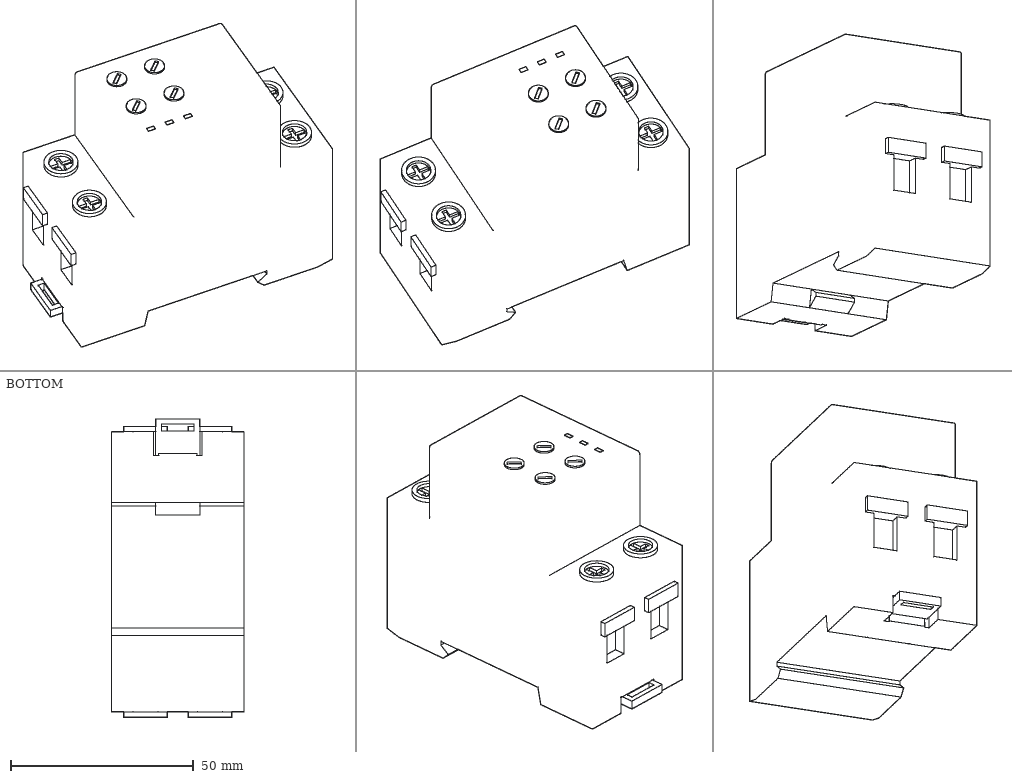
import cadquery as cq

WIDTH = 36.3
BODY_LENGTH = 76.6
TOWER_LENGTH = 45.05
SHOULDER_Z = 42.7
TOWER_Z = 66.1
TOWER_ROUND = 1.0
EDGE_BREAK = 0.2
BACK_Y = BODY_LENGTH / 2
FRONT_Y = -BACK_Y

RAIL_DEPTH = 5.1
HOOK_ROOT_Y = 18.2
HOOK_ROOT_Z = 3.9
HOOK_TIP_Y = 15.4
HOOK_TIP_Z = 1.95
HOOK_FOOT_Y = 17.4
FRONT_FOOT_TOP_Y = -17.95
FRONT_FOOT_BOTTOM_Y = -19.0
HEEL_LENGTH = 4.6
HEEL_HEIGHT = 1.15

POLE_X = 8.8
SCREW_Y = 31.25
SCREW_DIAMETER = 9.3
SCREW_HEIGHT = 1.2
SCREW_HEAD_DIAMETER = 6.7
SCREW_HEAD_DEPTH = 1.0
CROSS_SLOT_WIDTH = 1.3
CROSS_LENGTH_X = 5.2
CROSS_LENGTH_Y = 6.5
CROSS_DEPTH = 1.0
HOOD_WIDTH = 11.9
HOOD_TOP_Z = 32.7
HOOD_HEIGHT = 4.25
HOOD_DEPTH = 1.5
OPENING_WIDTH = 6.8
OPENING_BOTTOM_Z = 18.45
OPENING_DEPTH = 3.2

KNOB_XS = (-10.4, 1.6)
KNOB_YS = (-1.95, -13.5)
KNOB_DIAMETER = 5.5
KNOB_HEIGHT = 0.5
KNOB_SLOT_LENGTH = 3.8
KNOB_SLOT_WIDTH = 1.0
KNOB_SLOT_ANGLE = -45
LED_X = 11.1
LED_MIDDLE_Y = -8.0
LED_PITCH = 5.6
LED_WIDTH = 1.2
LED_LENGTH = 2.1
LED_DEPTH = 0.1

CLIP_SLOT_WIDTH = 13.2
CLIP_SLOT_DEPTH = 6.5
CLIP_WIDTH = 12.15
CLIP_THICKNESS = 2.5
CLIP_REACH = 3.5
CLIP_HOLE_WIDTH = 8.8
CLIP_HOLE_LENGTH = 1.8
CLIP_BAR = 1.5
RAMP_WIDTH = 10.45
RAMP_LENGTH = 0.6
LATCH_TIP_Y = -15.5
LATCH_TIP_TOP_Z = 3.5
LATCH_TIP_BOTTOM_Z = 2.45


def block(x, y, z):
    """Box spanning the (low, high) pairs given for each axis."""
    size = (x[1] - x[0], y[1] - y[0], z[1] - z[0])
    return cq.Workplane().box(*size, centered=False).translate((x[0], y[0], z[0]))


def centred(middle, size):
    """(low, high) pair of the given size around a middle."""
    return (middle - size / 2, middle + size / 2)


def side_prism(points, width):
    """Prism with a Y-Z outline, centred on X = 0."""
    return cq.Workplane("YZ").polyline(points).close().extrude(width / 2, both=True)


def housing():
    half_tower = TOWER_LENGTH / 2
    outline = [
        (FRONT_Y, 0),
        (FRONT_Y, SHOULDER_Z),
        (-half_tower, SHOULDER_Z),
        (-half_tower, TOWER_Z),
        (half_tower, TOWER_Z),
        (half_tower, SHOULDER_Z),
        (BACK_Y, SHOULDER_Z),
        (BACK_Y, HEEL_HEIGHT),
        (BACK_Y - HEEL_LENGTH, 0),
        (HOOK_FOOT_Y, 0),
        (HOOK_TIP_Y, HOOK_TIP_Z),
        (HOOK_ROOT_Y, HOOK_ROOT_Z),
        (HOOK_ROOT_Y, RAIL_DEPTH),
        (FRONT_FOOT_TOP_Y, RAIL_DEPTH),
        (FRONT_FOOT_BOTTOM_Y, 0),
    ]
    solid = side_prism(outline, WIDTH)
    solid = solid.faces(">Z").edges("|X").fillet(TOWER_ROUND)
    return break_edges(solid)


def break_edges(solid):
    """Slightly round the outer shoulder edges and the side outlines above the rail recess."""
    for y in (FRONT_Y, BACK_Y):
        shoulder_edge = cq.NearestToPointSelector((0, y, SHOULDER_Z))
        solid = solid.edges(shoulder_edge).fillet(EDGE_BREAK)
    above_rail = cq.selectors.BoxSelector(
        (-WIDTH, FRONT_Y - EDGE_BREAK, RAIL_DEPTH + EDGE_BREAK),
        (WIDTH, BACK_Y + EDGE_BREAK, TOWER_Z + EDGE_BREAK),
    )
    return solid.faces("<X or >X").edges(above_rail).fillet(EDGE_BREAK)


def terminal_screw():
    """Screw collar standing on Z = 0 with a sunken cross-slotted head."""
    collar = cq.Workplane().circle(SCREW_DIAMETER / 2).extrude(SCREW_HEIGHT)
    sunk_head = (
        cq.Workplane(origin=(0, 0, SCREW_HEIGHT))
        .circle(SCREW_HEAD_DIAMETER / 2)
        .extrude(-SCREW_HEAD_DEPTH)
    )
    return collar.cut(sunk_head)


def cross_recess():
    """Cross-shaped cutter reaching down from Z = 0."""
    along_x = cq.Workplane().rect(CROSS_LENGTH_X, CROSS_SLOT_WIDTH).extrude(-CROSS_DEPTH)
    along_y = cq.Workplane().rect(CROSS_SLOT_WIDTH, CROSS_LENGTH_Y).extrude(-CROSS_DEPTH)
    return along_x.union(along_y)


def add_terminals(body):
    head_floor_z = SHOULDER_Z + SCREW_HEIGHT - SCREW_HEAD_DEPTH
    for x in (-POLE_X, POLE_X):
        for y in (-SCREW_Y, SCREW_Y):
            place = (x, y, SHOULDER_Z)
            body = body.union(terminal_screw().translate(place))
            body = body.cut(cross_recess().translate((x, y, head_floor_z)))
        opening_x = centred(x, OPENING_WIDTH)
        opening_z = (OPENING_BOTTOM_Z, HOOD_TOP_Z - HOOD_HEIGHT)
        body = body.cut(block(opening_x, (FRONT_Y, FRONT_Y + OPENING_DEPTH), opening_z))
        body = body.cut(block(opening_x, (BACK_Y - OPENING_DEPTH, BACK_Y), opening_z))
        hood_x = centred(x, HOOD_WIDTH)
        hood_z = (HOOD_TOP_Z - HOOD_HEIGHT, HOOD_TOP_Z)
        body = body.union(block(hood_x, (FRONT_Y - HOOD_DEPTH, FRONT_Y), hood_z))
        body = body.union(block(hood_x, (BACK_Y, BACK_Y + HOOD_DEPTH), hood_z))
    return body


def knob():
    """Slotted knob standing on Z = 0."""
    slot = (
        cq.Workplane()
        .rect(KNOB_SLOT_LENGTH, KNOB_SLOT_WIDTH)
        .extrude(KNOB_HEIGHT)
        .rotate((0, 0, 0), (0, 0, 1), KNOB_SLOT_ANGLE)
    )
    return cq.Workplane().circle(KNOB_DIAMETER / 2).extrude(KNOB_HEIGHT).cut(slot)


def add_controls(body):
    for x in KNOB_XS:
        for y in KNOB_YS:
            body = body.union(knob().translate((x, y, TOWER_Z)))
    for step in (-1, 0, 1):
        led_y = centred(LED_MIDDLE_Y + step * LED_PITCH, LED_LENGTH)
        window = block(centred(LED_X, LED_WIDTH), led_y, (TOWER_Z - LED_DEPTH, TOWER_Z))
        body = body.cut(window)
    return body


def add_rail_clip(body):
    slot_end_y = FRONT_Y + CLIP_SLOT_DEPTH
    plate_bottom_z = RAIL_DEPTH - CLIP_THICKNESS
    plate_z = (plate_bottom_z, RAIL_DEPTH)
    clip_front_y = FRONT_Y - CLIP_REACH
    hole_front_y = clip_front_y + CLIP_BAR

    slot = block(centred(0, CLIP_SLOT_WIDTH), (FRONT_Y, slot_end_y), (0, RAIL_DEPTH))
    plate = block(centred(0, CLIP_WIDTH), (clip_front_y, slot_end_y), plate_z)
    hole_y = (hole_front_y, hole_front_y + CLIP_HOLE_LENGTH)
    hole = block(centred(0, CLIP_HOLE_WIDTH), hole_y, plate_z)
    ramp = side_prism(
        [(slot_end_y, 0), (slot_end_y, plate_bottom_z), (slot_end_y - RAMP_LENGTH, 0)],
        RAMP_WIDTH,
    )
    latch = side_prism(
        [
            (FRONT_FOOT_TOP_Y, RAIL_DEPTH),
            (LATCH_TIP_Y, LATCH_TIP_TOP_Z),
            (LATCH_TIP_Y, LATCH_TIP_BOTTOM_Z),
            (FRONT_FOOT_BOTTOM_Y, 0),
        ],
        CLIP_WIDTH,
    )
    return body.cut(slot).union(plate.cut(hole)).union(ramp).union(latch)


result = add_rail_clip(add_controls(add_terminals(housing())))